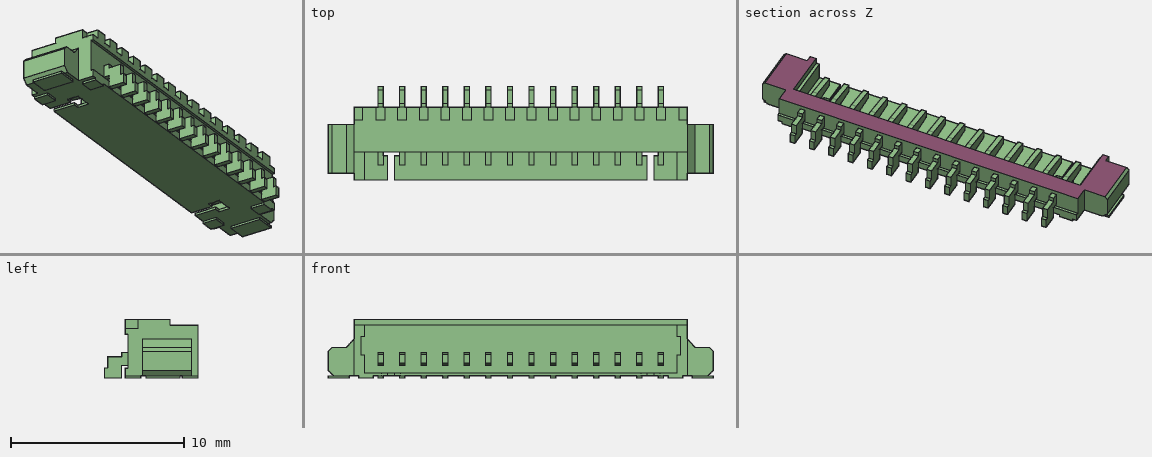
import cadquery as cq

OVERALL_LENGTH = 22.25
OVERALL_DEPTH = 5.4
OVERALL_HEIGHT = 3.4
FRONT_Y = -OVERALL_DEPTH / 2
LEAD_TIP_Y = OVERALL_DEPTH / 2

HOUSING_LENGTH = 19.27
STANDOFF = 0.13
REAR_FACE_Y = 1.35
REAR_LIP = 0.15
REAR_EDGE_Y = REAR_FACE_Y + REAR_LIP
TOP_LIP_HEIGHT = 0.87
BOTTOM_LEDGE_TOP_Z = 0.58
ROOF_FRONT_Y = -1.1
ROOF_UNDERSIDE_Z = 3.07

WALL = 0.6
FLOOR_TOP_Z = 0.3
CAVITY_REAR_Y = 0.22
GROOVE_DEPTH = 0.2
GROOVE_BOTTOM_Z = 1.34
GROOVE_TOP_Z = 2.4

SLOT_CENTRE_X = 7.5
SLOT_WIDTH = 0.38
SLOT_HEAD_WIDTH = 1.11
SLOT_HEAD_FRONT_Y = -1.3
SLOT_HEAD_REAR_Y = -0.55

CONTACT_COUNT = 14
PITCH = 1.25
CONTACT_WIDTH = 0.31
BLADE_BOTTOM_Z = 0.73
BLADE_TOP_Z = 1.5
BLADE_TIP_Y = -1.82
BLADE_TIP_CHAMFER = 0.13
BLADE_TAPER_LENGTH = 1.55
LEAD_INNER_Y = 1.71
LEAD_SHOULDER_Z = 1.25
LEAD_STEP_Y = 2.51
LEAD_STEP_Z = 0.6

NOTCH_WIDTH = 0.51
NOTCH_REACH = 0.73
NOTCH_DEPTH = 0.53
CORNER_NOTCH_WIDTH = 0.5

EAR_FRONT_Y = -2.31
EAR_REAR_Y = 0.51
EAR_TOP_Z = 1.78
EAR_TOP_CHAMFER = 0.22
EAR_BOTTOM_CHAMFER = 0.31
EAR_GUSSET_RUN = 0.45
EAR_GUSSET_RISE = 0.5
TAB_LENGTH = 1.22
TAB_FRONT_Y = -1.67
TAB_REAR_Y = 0.31

FOOT_INSET = 0.27
FOOT_LENGTH = 0.85
FOOT_DEPTH = 0.91


def box(x_range, y_range, z_range):
    """Axis-aligned block given by its limits along each axis."""
    lows, highs = zip(x_range, y_range, z_range)
    sizes = [high - low for low, high in zip(lows, highs)]
    return cq.Workplane("XY").box(*sizes, centered=False).translate(lows)


def centred(x, width):
    """X limits of a feature of the given width centred on x."""
    return (x - width / 2, x + width / 2)


def both_ends(left_part):
    """A left-hand feature together with its mirror image on the right."""
    return left_part.union(left_part.mirror("YZ"))


def extrude_across(side_outline, width):
    """Extrude (y, z) points along X, centred on X = 0."""
    return cq.Workplane("YZ").polyline(side_outline).close().extrude(width / 2, both=True)


half_housing = HOUSING_LENGTH / 2
half_overall = OVERALL_LENGTH / 2
half_cavity = half_housing - WALL
contact_positions = [(i - (CONTACT_COUNT - 1) / 2) * PITCH for i in range(CONTACT_COUNT)]


def make_shell():
    """Stepped housing block with the plug cavity and its side grooves removed."""
    top_lip_z = OVERALL_HEIGHT - TOP_LIP_HEIGHT
    shell = extrude_across(
        [
            (FRONT_Y, STANDOFF),
            (REAR_EDGE_Y, STANDOFF),
            (REAR_EDGE_Y, BOTTOM_LEDGE_TOP_Z),
            (REAR_FACE_Y, BOTTOM_LEDGE_TOP_Z),
            (REAR_FACE_Y, top_lip_z),
            (REAR_EDGE_Y, top_lip_z),
            (REAR_EDGE_Y, OVERALL_HEIGHT),
            (ROOF_FRONT_Y, OVERALL_HEIGHT),
            (ROOF_FRONT_Y, ROOF_UNDERSIDE_Z),
            (FRONT_Y, ROOF_UNDERSIDE_Z),
        ],
        HOUSING_LENGTH,
    )
    cavity_depth = (FRONT_Y, CAVITY_REAR_Y)
    cavity = box((-half_cavity, half_cavity), cavity_depth, (FLOOR_TOP_Z, ROOF_UNDERSIDE_Z))
    half_grooves = half_cavity + GROOVE_DEPTH
    grooves = box((-half_grooves, half_grooves), cavity_depth, (GROOVE_BOTTOM_Z, GROOVE_TOP_Z))
    return shell.cut(cavity).cut(grooves)


def make_floor_slots():
    """T-shaped openings: a narrow stem from the front edge and a wider head."""
    floor_z = (STANDOFF, FLOOR_TOP_Z)
    stem = box(centred(-SLOT_CENTRE_X, SLOT_WIDTH), (FRONT_Y, SLOT_HEAD_REAR_Y), floor_z)
    head_y = (SLOT_HEAD_FRONT_Y, SLOT_HEAD_REAR_Y)
    head = box(centred(-SLOT_CENTRE_X, SLOT_HEAD_WIDTH), head_y, floor_z)
    return both_ends(stem.union(head))


def make_roof_notches():
    """Shallow notches above every contact and at both rear corners."""
    notch_y = (REAR_EDGE_Y - NOTCH_REACH, REAR_EDGE_Y)
    notch_z = (OVERALL_HEIGHT - NOTCH_DEPTH, OVERALL_HEIGHT)
    corner_x = (-half_housing, -half_housing + CORNER_NOTCH_WIDTH)
    notches = both_ends(box(corner_x, notch_y, notch_z))
    for x in contact_positions:
        notches = notches.union(box(centred(x, NOTCH_WIDTH), notch_y, notch_z))
    return notches


def make_contact():
    """One contact: a tapered blade inside and a stepped solder lead behind."""
    taper_start_y = BLADE_TIP_Y + BLADE_TAPER_LENGTH
    return extrude_across(
        [
            (BLADE_TIP_Y, BLADE_BOTTOM_Z + BLADE_TIP_CHAMFER),
            (taper_start_y, BLADE_BOTTOM_Z),
            (LEAD_INNER_Y, BLADE_BOTTOM_Z),
            (LEAD_INNER_Y, 0),
            (LEAD_TIP_Y, 0),
            (LEAD_TIP_Y, LEAD_STEP_Z),
            (LEAD_STEP_Y, LEAD_STEP_Z),
            (LEAD_STEP_Y, LEAD_SHOULDER_Z),
            (LEAD_INNER_Y, LEAD_SHOULDER_Z),
            (LEAD_INNER_Y, BLADE_TOP_Z),
            (taper_start_y, BLADE_TOP_Z),
            (BLADE_TIP_Y, BLADE_TOP_Z - BLADE_TIP_CHAMFER),
        ],
        CONTACT_WIDTH,
    )


def make_ears():
    """Chamfered ears with a sloped gusset against the housing and a flat tab below."""
    outline = [
        (-half_housing, STANDOFF),
        (-half_overall + EAR_BOTTOM_CHAMFER, STANDOFF),
        (-half_overall, STANDOFF + EAR_BOTTOM_CHAMFER),
        (-half_overall, EAR_TOP_Z - EAR_TOP_CHAMFER),
        (-half_overall + EAR_TOP_CHAMFER, EAR_TOP_Z),
        (-half_housing - EAR_GUSSET_RUN, EAR_TOP_Z),
        (-half_housing, EAR_TOP_Z + EAR_GUSSET_RISE),
    ]
    ear = (
        cq.Workplane("XZ", origin=(0, EAR_REAR_Y, 0))
        .polyline(outline)
        .close()
        .extrude(EAR_REAR_Y - EAR_FRONT_Y)
    )
    tab_x = (-half_overall, -half_overall + TAB_LENGTH)
    tab = box(tab_x, (TAB_FRONT_Y, TAB_REAR_Y), (0, STANDOFF))
    return both_ends(ear.union(tab))


def make_feet():
    """Small pads under the four corners of the housing."""
    outer_x = -half_housing + FOOT_INSET
    foot_x = (outer_x, outer_x + FOOT_LENGTH)
    front_foot = box(foot_x, (FRONT_Y, FRONT_Y + FOOT_DEPTH), (0, STANDOFF))
    rear_foot = box(foot_x, (REAR_EDGE_Y - FOOT_DEPTH, REAR_EDGE_Y), (0, STANDOFF))
    return both_ends(front_foot.union(rear_foot))


housing = make_shell().cut(make_floor_slots()).cut(make_roof_notches())
result = housing.union(make_ears()).union(make_feet())
contact = make_contact()
for contact_x in contact_positions:
    result = result.union(contact.translate((contact_x, 0, 0)))